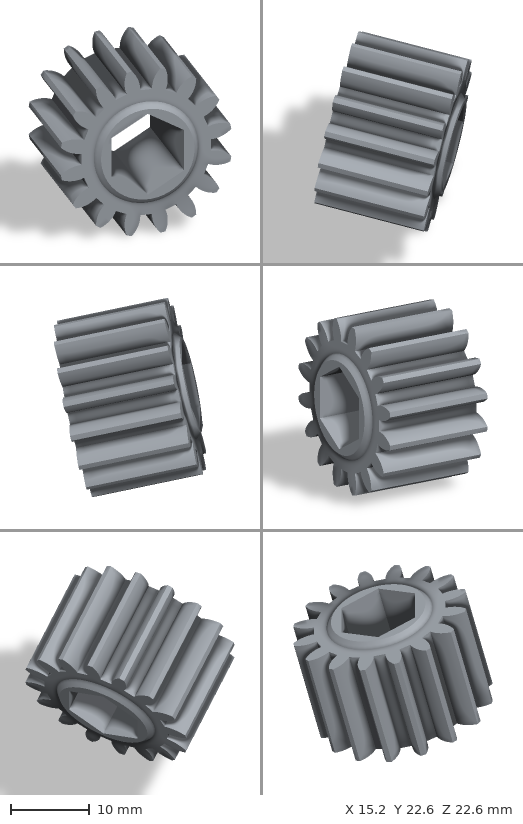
import cadquery as cq
import math

TEETH = 16
GEAR_WIDTH = 14.45
TIP_RADIUS = 11.45
OUTER_SIZE = 22.57
ROOT_DISTANCE = 8.58
GAP_HALF_WIDTH = 0.77
FLANK_RADIUS = 9.98
FLANK_HALF_GAP = 1.02

HUB_RADIUS = 6.93
HUB_LENGTH = 0.75

HEX_ACROSS_FLATS = 9.6

PITCH_ANGLE = 2 * math.pi / TEETH
TIP_CORNER_ANGLE = math.acos(OUTER_SIZE / 2 / TIP_RADIUS)


def polar(radius, angle):
    return radius * math.cos(angle), radius * math.sin(angle)


def rotated(point, angle):
    """Turn a point about the gear axis."""
    x, y = point
    return polar(math.hypot(x, y), math.atan2(y, x) + angle)


def make_gear():
    """Extrude the toothed outline; a gap is centred on each main axis."""
    root_start = (ROOT_DISTANCE, -GAP_HALF_WIDTH)
    root_end = (ROOT_DISTANCE, GAP_HALF_WIDTH)
    flank_angle = math.asin(FLANK_HALF_GAP / FLANK_RADIUS)

    outline = cq.Workplane("YZ").moveTo(*root_start)
    for tooth in range(TEETH):
        gap = tooth * PITCH_ANGLE
        tooth_centre = gap + PITCH_ANGLE / 2
        next_gap = gap + PITCH_ANGLE
        outline = outline.lineTo(*rotated(root_end, gap))
        outline = outline.threePointArc(
            polar(FLANK_RADIUS, gap + flank_angle),
            polar(TIP_RADIUS, gap + TIP_CORNER_ANGLE),
        )
        outline = outline.threePointArc(
            polar(TIP_RADIUS, tooth_centre),
            polar(TIP_RADIUS, next_gap - TIP_CORNER_ANGLE),
        )
        outline = outline.threePointArc(
            polar(FLANK_RADIUS, next_gap - flank_angle),
            rotated(root_start, next_gap),
        )
    return outline.close().extrude(GEAR_WIDTH)


def make_hub():
    """Truncated cone standing on the +X face of the gear."""
    disc = cq.Workplane("YZ", origin=(GEAR_WIDTH, 0, 0)).circle(HUB_RADIUS)
    return disc.extrude(HUB_LENGTH, taper=45)


def make_bore():
    """Through hexagon with corners pointing along Z."""
    corner_diameter = HEX_ACROSS_FLATS / math.cos(math.pi / 6)
    hexagon = cq.Workplane("YZ").transformed(rotate=(0, 0, 90)).polygon(6, corner_diameter)
    return hexagon.extrude(GEAR_WIDTH + HUB_LENGTH)


result = make_gear().union(make_hub()).cut(make_bore())